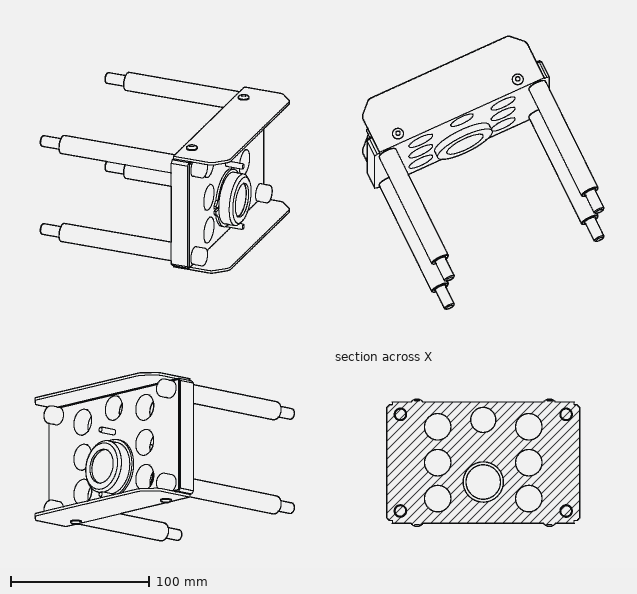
import cadquery as cq
import math

PLATE_THICKNESS = 13.0
PLATE_WIDTH = 140.0
PLATE_HEIGHT = 84.0
PLATE_CORNER_CHAMFER = 2.0

SHEET_THICKNESS = 1.0
SHEET_INSET = 1.0
SHEET_BACK = PLATE_THICKNESS + SHEET_THICKNESS

SIDE_HOLE_DIAMETER = 19.0
SIDE_HOLE_Y = 33.0
SIDE_HOLE_PITCH_Z = 26.0
TOP_HOLE_DIAMETER = 18.0
TOP_HOLE_Z = 31.0

BRACKET_LENGTH = 40.0
BRACKET_WIDTH = 132.0
BRACKET_THICKNESS = 2.0
BRACKET_CHAMFER = 10.0
BRACKET_CORNER_RADIUS = 5.0
BRACKET_OUTER_Z = PLATE_HEIGHT / 2 + BRACKET_THICKNESS

BUTTON_X = 7.0
BUTTON_Y = 48.0
BUTTON_DIAMETER = 8.0
BUTTON_HEIGHT = 2.1
BUTTON_RIM_HEIGHT = 0.7
BUTTON_SOCKET_DIAMETER = 3.24
BUTTON_SOCKET_DEPTH = 1.2

POST_Y = 60.0
POST_Z = 35.0
TUBE_DIAMETER = 13.5
TUBE_BORE = 8.8
TUBE_LENGTH = 90.0
TUBE_CHAMFER = 0.5
SCREW_DIAMETER = 8.0
SCREW_TIP_X = -106.0
SCREW_TIP_CHAMFER = 0.8
HEAD_DIAMETER = 13.0
HEAD_HEIGHT = 8.0
HEAD_EDGE_RADIUS = 1.0

BUSH_Z = -14.0
FLANGE_DIAMETER = 44.0
FLANGE_THICKNESS = 5.0
BUSH_DIAMETER = 38.0
BUSH_BACK = 26.0
BUSH_CHAMFER = 2.0
BUSH_BORE = 29.0
BUSH_LIP_BORE = 24.8
BUSH_LIP_THICKNESS = 2.0

RING_THICKNESS = 1.75
RING_DIAMETER = 42.4
GROOVE_DIAMETER = 36.0
LUG_GAP = 2.2
LUG_TIP_WIDTH = 6.2
LUG_ROOT_WIDTH = 16.4
LUG_TIP_RADIUS = 23.8

PIN_DIAMETER = 4.0
PIN_BACK = 27.0
PIN_CHAMFER_LENGTH = 1.2
PIN_CHAMFER_DEPTH = 0.35
PIN_POSITIONS = [(0.0, 13.0), (0.0, -35.0)]


def cylinder_x(diameter, x_start, x_end, y, z):
    """Cylinder along X between two X positions."""
    length = x_end - x_start
    return cq.Workplane("YZ", origin=(x_start, y, z)).circle(diameter / 2).extrude(length)


def make_plate():
    plate = (
        cq.Workplane("XY")
        .box(PLATE_THICKNESS, PLATE_WIDTH, PLATE_HEIGHT)
        .translate((PLATE_THICKNESS / 2, 0, 0))
        .edges("|X")
        .chamfer(PLATE_CORNER_CHAMFER)
    )
    sheet = (
        cq.Workplane("XY")
        .box(SHEET_THICKNESS, PLATE_WIDTH - 2 * SHEET_INSET, PLATE_HEIGHT - 2 * SHEET_INSET)
        .translate((PLATE_THICKNESS + SHEET_THICKNESS / 2, 0, 0))
    )
    plate = plate.union(sheet)
    for y in (-SIDE_HOLE_Y, SIDE_HOLE_Y):
        for row in (-1, 0, 1):
            plate = plate.cut(cylinder_x(SIDE_HOLE_DIAMETER, 0, SHEET_BACK, y, row * SIDE_HOLE_PITCH_Z))
    return plate.cut(cylinder_x(TOP_HOLE_DIAMETER, 0, SHEET_BACK, 0, TOP_HOLE_Z))


def make_button_head(y):
    """Spherical screw head with a round socket, standing on the upper bracket."""
    rim_radius = BUTTON_DIAMETER / 2
    socket_radius = BUTTON_SOCKET_DIAMETER / 2
    dome_height = BUTTON_HEIGHT - BUTTON_RIM_HEIGHT
    center_drop = (rim_radius**2 - socket_radius**2 - dome_height**2) / (2 * dome_height)
    dome_radius = math.hypot(rim_radius, center_drop)
    middle_radius = (rim_radius + socket_radius) / 2
    middle_height = BUTTON_RIM_HEIGHT - center_drop + math.sqrt(dome_radius**2 - middle_radius**2)
    socket_floor = BUTTON_HEIGHT - BUTTON_SOCKET_DEPTH
    head = (
        cq.Workplane("XZ")
        .lineTo(rim_radius, 0)
        .lineTo(rim_radius, BUTTON_RIM_HEIGHT)
        .threePointArc((middle_radius, middle_height), (socket_radius, BUTTON_HEIGHT))
        .lineTo(socket_radius, socket_floor)
        .lineTo(0, socket_floor)
        .close()
        .revolve(360, (0, 0, 0), (0, 1, 0))
    )
    return head.translate((BUTTON_X, y, BRACKET_OUTER_Z))


def make_upper_bracket():
    bracket = (
        cq.Workplane("XY")
        .box(BRACKET_LENGTH, BRACKET_WIDTH, BRACKET_THICKNESS)
        .translate((BRACKET_LENGTH / 2, 0, BRACKET_OUTER_Z - BRACKET_THICKNESS / 2))
        .edges("|Z and >X")
        .chamfer(BRACKET_CHAMFER)
    )
    first_corner_x = BRACKET_LENGTH - BRACKET_CHAMFER
    blunt_corners = cq.selectors.BoxSelector(
        (first_corner_x / 2, -BRACKET_WIDTH, 0),
        (2 * BRACKET_LENGTH, BRACKET_WIDTH, 2 * BRACKET_OUTER_Z),
    )
    bracket = bracket.edges("|Z").edges(blunt_corners).fillet(BRACKET_CORNER_RADIUS)
    for y in (-BUTTON_Y, BUTTON_Y):
        bracket = bracket.union(make_button_head(y))
    return bracket


def make_post(y, z):
    """Spacer tube in front of the plate with a cap screw through both."""
    tube = cylinder_x(TUBE_DIAMETER, -TUBE_LENGTH, 0, y, z).faces("<X or >X").chamfer(TUBE_CHAMFER)
    tube = tube.cut(cylinder_x(TUBE_BORE, -TUBE_LENGTH, 0, y, z))
    screw = cylinder_x(SCREW_DIAMETER, SCREW_TIP_X, SHEET_BACK, y, z).faces("<X").chamfer(SCREW_TIP_CHAMFER)
    head = cylinder_x(HEAD_DIAMETER, SHEET_BACK, SHEET_BACK + HEAD_HEIGHT, y, z)
    head = head.faces(">X").edges().fillet(HEAD_EDGE_RADIUS)
    return tube.union(screw).union(head)


def make_bush():
    bush = cylinder_x(BUSH_DIAMETER, 0, BUSH_BACK, 0, BUSH_Z)
    bush = bush.faces(">X").edges().chamfer(BUSH_CHAMFER)
    bush = bush.union(cylinder_x(FLANGE_DIAMETER, -FLANGE_THICKNESS, 0, 0, BUSH_Z))
    groove_end = SHEET_BACK + RING_THICKNESS
    groove = cylinder_x(BUSH_DIAMETER, SHEET_BACK, groove_end, 0, BUSH_Z)
    groove = groove.cut(cylinder_x(GROOVE_DIAMETER, SHEET_BACK, groove_end, 0, BUSH_Z))
    return bush.cut(groove)


def make_bush_bore():
    """Bore that curves in at the back to a narrower lip."""
    fillet_radius = (BUSH_BORE - BUSH_LIP_BORE) / 2
    bore = cylinder_x(BUSH_BORE, -FLANGE_THICKNESS, BUSH_BACK - BUSH_LIP_THICKNESS, 0, BUSH_Z)
    bore = bore.faces(">X").edges().fillet(fillet_radius)
    return bore.union(cylinder_x(BUSH_LIP_BORE, 0, BUSH_BACK, 0, BUSH_Z))


def make_retaining_ring():
    plane = cq.Workplane("YZ", origin=(SHEET_BACK, 0, BUSH_Z))
    lug_root_y = -GROOVE_DIAMETER / 2
    lugs = (
        plane.moveTo(lug_root_y, -LUG_ROOT_WIDTH / 2)
        .lineTo(-LUG_TIP_RADIUS, -LUG_TIP_WIDTH / 2)
        .lineTo(-LUG_TIP_RADIUS, LUG_TIP_WIDTH / 2)
        .lineTo(lug_root_y, LUG_ROOT_WIDTH / 2)
        .close()
        .extrude(RING_THICKNESS)
    )
    gap = (
        plane.center(-LUG_TIP_RADIUS / 2, 0)
        .rect(LUG_TIP_RADIUS, LUG_GAP)
        .extrude(RING_THICKNESS)
    )
    inside = plane.circle(GROOVE_DIAMETER / 2).extrude(RING_THICKNESS)
    ring = plane.circle(RING_DIAMETER / 2).extrude(RING_THICKNESS)
    return ring.union(lugs).cut(inside).cut(gap)


def make_pin(y, z):
    pin = cylinder_x(PIN_DIAMETER, 0, PIN_BACK, y, z)
    return pin.faces(">X").edges().chamfer(PIN_CHAMFER_LENGTH, PIN_CHAMFER_DEPTH)


result = make_plate()

upper_bracket = make_upper_bracket()
result = result.union(upper_bracket).union(upper_bracket.mirror("XY"))

for post_y in (-POST_Y, POST_Y):
    for post_z in (-POST_Z, POST_Z):
        result = result.cut(cylinder_x(TUBE_BORE, 0, SHEET_BACK, post_y, post_z))
        result = result.union(make_post(post_y, post_z))

result = result.union(make_bush()).union(make_retaining_ring()).cut(make_bush_bore())

for pin_y, pin_z in PIN_POSITIONS:
    result = result.union(make_pin(pin_y, pin_z))